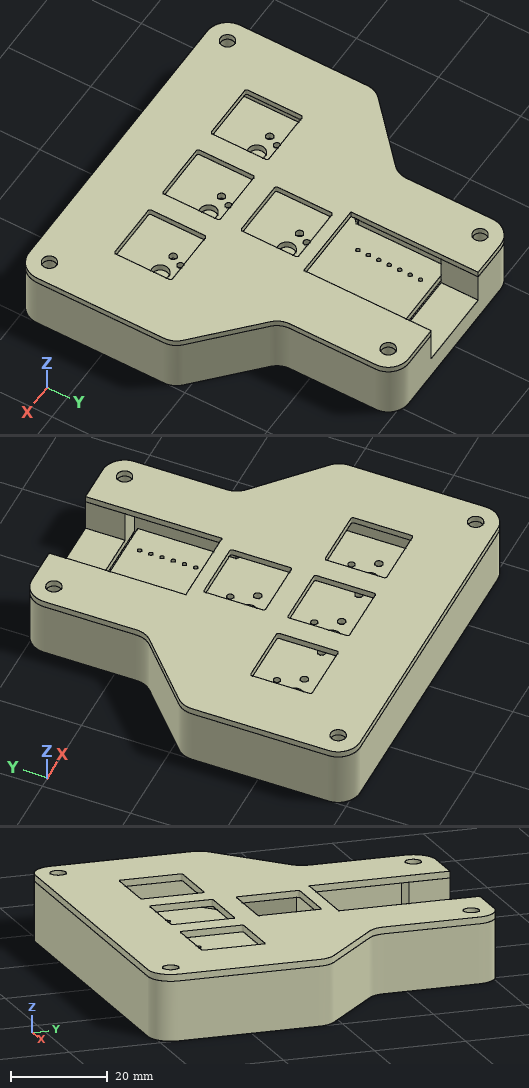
import cadquery as cq
import math

length = 82.0
base_width = 80.2
neck_width = 46.2
neck_corner_y = 12.9
base_corner_y = -2.9
corner_radius = 5.0

total_height = 14.5
plate_thickness = 1.5
board_thickness = 1.6
board_top = 5.6
case_height = total_height - plate_thickness
cavity_floor = board_top - board_thickness

wall_thickness = 9.0
board_side_gap = 0.6
board_end_gap = 1.0

screw_diameter = 3.4

slot_width = 18.5
slot_end_y = 10.0
slot_floor = 5.5

key_pitch = 19.0
key_cutout = 13.9
key_corner_radius = 0.5
upper_key_y = 0.1
lower_key_y = upper_key_y - key_pitch
key_centers = [(0, upper_key_y)] + [(column * key_pitch, lower_key_y) for column in (-1, 0, 1)]

grid = 2.55
stem_diameter = 4.0
peg_diameter = 1.7
peg_offset = 2 * grid
switch_pin_diameter = 1.5
switch_pin_offsets = [(-1.5 * grid, grid), (grid, 2 * grid)]
header_diameter = 0.9
header_pins = 7
header_row_x = 3 * grid
header_center_y = 20.3


def outline_prism(side_inset, end_inset, bottom, height):
    """Sharp-cornered solid of the outline, moved inwards at the sides and at the two ends."""
    base_x = base_width / 2 - side_inset
    neck_x = neck_width / 2 - side_inset
    end_y = length / 2 - end_inset

    shoulder_turn = math.atan2((base_width - neck_width) / 2, neck_corner_y - base_corner_y)
    shoulder_shift = side_inset * math.tan(shoulder_turn / 2)

    right_side = [
        (base_x, -end_y),
        (base_x, base_corner_y - shoulder_shift),
        (neck_x, neck_corner_y - shoulder_shift),
        (neck_x, end_y),
    ]
    left_side = [(-x, y) for x, y in reversed(right_side)]
    base_plane = cq.Workplane("XY", origin=(0, 0, bottom))
    return base_plane.polyline(right_side + left_side).close().extrude(height)


def hole_cutters(centers, diameter):
    """Cylinders tall enough to pass through every body."""
    return cq.Workplane("XY").pushPoints(centers).circle(diameter / 2).extrude(total_height)


def screw_cutters():
    base_x = base_width / 2 - corner_radius
    neck_x = neck_width / 2 - corner_radius
    end_y = length / 2 - corner_radius
    centers = [(-base_x, -end_y), (base_x, -end_y), (-neck_x, end_y), (neck_x, end_y)]
    return hole_cutters(centers, screw_diameter)


def slot_cutter():
    """Connector slot, from its floor up through the plate and out of the +Y end."""
    slot_length = length / 2 - slot_end_y
    slot = cq.Workplane("XY", origin=(0, slot_end_y, slot_floor))
    return slot.box(slot_width, slot_length, total_height, centered=(True, False, False))


def key_cutters():
    """Rounded square openings for the key switches."""
    openings = cq.Workplane("XY").pushPoints(key_centers).rect(key_cutout, key_cutout).extrude(total_height)
    return openings.edges("|Z").fillet(key_corner_radius)


def outer_layer(bottom, height):
    """Full-size layer with rounded corners, the screw holes and the connector slot."""
    layer = outline_prism(0, 0, bottom, height).edges("|Z").fillet(corner_radius)
    return layer.cut(screw_cutters()).cut(slot_cutter())


def make_case():
    """Tray whose cavity is open at the top."""
    cavity_depth = case_height - cavity_floor
    cavity = outline_prism(wall_thickness, wall_thickness, cavity_floor, cavity_depth)
    return outer_layer(0, case_height).cut(cavity)


def make_plate():
    """Cover on top of the case, with the key openings."""
    return outer_layer(case_height, plate_thickness).cut(key_cutters())


def make_board():
    """Circuit board lying on the cavity floor."""
    side_inset = wall_thickness + board_side_gap
    end_inset = wall_thickness + board_end_gap
    board = outline_prism(side_inset, end_inset, cavity_floor, board_thickness)

    pegs = [(x + side * peg_offset, y) for x, y in key_centers for side in (-1, 1)]
    switch_pins = [(x + dx, y + dy) for x, y in key_centers for dx, dy in switch_pin_offsets]
    board = board.cut(hole_cutters(key_centers, stem_diameter))
    board = board.cut(hole_cutters(pegs, peg_diameter))
    board = board.cut(hole_cutters(switch_pins, switch_pin_diameter))

    first_pin_y = header_center_y - (header_pins - 1) / 2 * grid
    pin_rows = [first_pin_y + index * grid for index in range(header_pins)]
    header_holes = [(side * header_row_x, y) for side in (-1, 1) for y in pin_rows]
    return board.cut(hole_cutters(header_holes, header_diameter))


case = make_case()
plate = make_plate()
board = make_board()

result = cq.Compound.makeCompound([case.val(), plate.val(), board.val()])